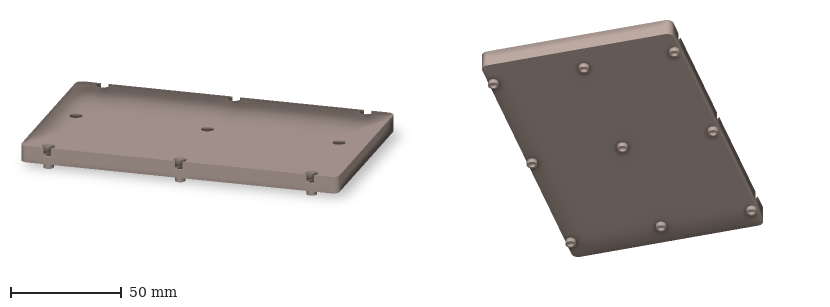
import cadquery as cq

length = 150.0
width = 90.0
thickness = 8.0
corner_radius = 3.0

peg_height = 2.1
peg_diameter = 4.8
hole_diameter = 3.2
counterbore_diameter = 6.0
counterbore_depth = 4.0

pitch_x = 62.1
pitch_y = (width - peg_diameter) / 2

total_height = thickness + peg_height
peg_places = [(i * pitch_x, j * pitch_y) for i in (-1, 0, 1) for j in (-1, 0, 1)]


def cylinders(diameter, bottom, height):
    """Upright cylinders at every peg place."""
    return (
        cq.Workplane("XY", origin=(0, 0, bottom))
        .pushPoints(peg_places)
        .circle(diameter / 2)
        .extrude(height)
    )


plate = (
    cq.Workplane("XY", origin=(0, 0, peg_height))
    .rect(length, width)
    .extrude(thickness)
    .edges("|Z")
    .fillet(corner_radius)
)

pegs = cylinders(peg_diameter, 0, peg_height)

holes = cylinders(hole_diameter, 0, total_height)
counterbores = cylinders(counterbore_diameter, total_height - counterbore_depth, counterbore_depth)

result = plate.union(pegs).cut(holes).cut(counterbores)